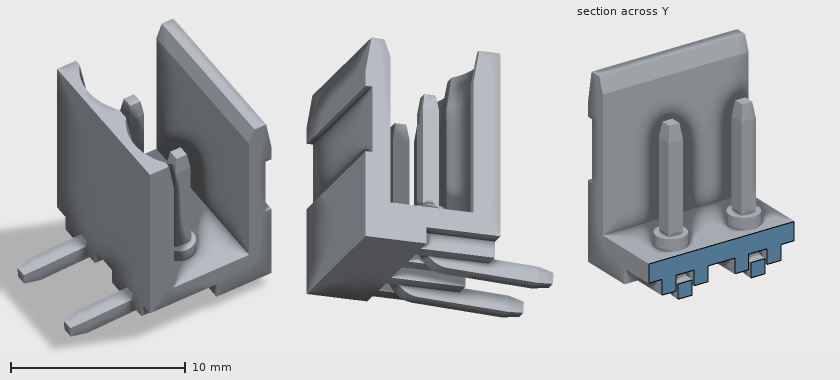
import cadquery as cq
import math


pitch = 5.08
pole_count = 2
width = pitch * pole_count
pole_positions = [(index - (pole_count - 1) / 2) * pitch for index in range(pole_count)]

back_y = 4.7
front_y = -3.5
housing_height = 12.2
floor_height = 2.25
back_wall = 1.5
front_wall = 1.64
back_inner_y = back_y - back_wall
front_inner_y = front_y + front_wall

long_taper_height = 2.0
long_taper_inset = long_taper_height * math.tan(math.radians(10))
short_taper_height = 1.0
short_taper_inset = short_taper_height * math.tan(math.radians(20))
taper_start_z = housing_height - long_taper_height

groove_bottom_z = 5.2
groove_top_z = 9.2
groove_depth = 0.4

scallop_radius = 3.2
scallop_center_y = 0.6
scallop_top_radius = scallop_radius + long_taper_inset

foot_height = 1.0
foot_back_y = 1.0
foot_width = 1.0
pin_slot_width = 1.25

pin_size = 1.0
pin_tip_size = 0.7
pin_tip_length = 1.0
pin_top_z = 10.0
pin_front_y = -7.5
pin_droop = 2.33
bend_radius = 1.1
collar_diameter = 2.0
collar_height = 0.8


def make_housing():
    """U-shaped section with tapered wall tops and a grooved back, run along X."""
    profile = [
        (front_y, 0),
        (front_y, housing_height),
        (front_inner_y - long_taper_inset, housing_height),
        (front_inner_y, taper_start_z),
        (front_inner_y, floor_height),
        (back_inner_y, floor_height),
        (back_inner_y, housing_height - short_taper_height),
        (back_inner_y + short_taper_inset, housing_height),
        (back_y - long_taper_inset, housing_height),
        (back_y, taper_start_z),
        (back_y, groove_top_z),
        (back_y - groove_depth, groove_top_z),
        (back_y - groove_depth, groove_bottom_z),
        (back_y, groove_bottom_z),
        (back_y, 0),
    ]
    return cq.Workplane("YZ").polyline(profile).close().extrude(width / 2, both=True)


def make_scallop(x):
    """Front half of an upright cylinder that flares into a cone beside the wall taper."""
    section = [
        (0, floor_height),
        (scallop_radius, floor_height),
        (scallop_radius, taper_start_z),
        (scallop_top_radius, housing_height),
        (0, housing_height),
    ]
    full_round = cq.Workplane("XZ").polyline(section).close().revolve(360, (0, 0), (0, 1))
    front_half = cq.Workplane("XY").box(
        pitch, scallop_top_radius, housing_height, centered=(True, False, False)
    ).translate((0, -scallop_top_radius, 0))
    return full_round.intersect(front_half).translate((x, scallop_center_y, 0))


def make_foot(x):
    return cq.Workplane("XY").box(
        foot_width, foot_back_y - front_y, foot_height, centered=(True, False, False)
    ).translate((x, front_y, 0))


def make_underside_recess():
    """Recess under the front of the housing, leaving a pair of feet at each pole."""
    recess = cq.Workplane("XY").box(
        width, foot_back_y - front_y, foot_height, centered=(True, False, False)
    ).translate((0, front_y, 0))
    foot_offset = (pin_slot_width + foot_width) / 2
    for x in pole_positions:
        recess = recess.cut(make_foot(x - foot_offset)).cut(make_foot(x + foot_offset))
    return recess


def make_tip(plane):
    """Square tip that narrows along the normal of the given plane."""
    return (
        cq.Workplane(plane)
        .rect(pin_size, pin_size)
        .workplane(offset=pin_tip_length)
        .rect(pin_tip_size, pin_tip_size)
        .loft(ruled=True)
    )


def make_pin(x):
    """Square pin bent forward, its two straight centrelines meeting at the housing underside."""
    droop = math.radians(pin_droop)
    forward = (-math.cos(droop), -math.sin(droop))
    turn = math.pi / 2 - droop
    bend_center_y = -bend_radius
    bend_center_z = bend_radius * math.tan(turn / 2)
    shaft_top_z = pin_top_z - pin_tip_length
    leg_length = -pin_front_y / math.cos(droop) - pin_tip_length
    leg_end = (leg_length * forward[0], leg_length * forward[1])

    def on_bend(radius, angle):
        """Point at a radius about the bend centre, the angle running from the upright shaft."""
        return (bend_center_y + radius * math.cos(angle), bend_center_z - radius * math.sin(angle))

    def on_leg_end(offset):
        """Point on the end of the leg, offset downwards across it."""
        return (leg_end[0] - offset * forward[1], leg_end[1] + offset * forward[0])

    half_size = pin_size / 2
    outer_radius = bend_radius + half_size
    inner_radius = bend_radius - half_size
    shaft = (
        cq.Workplane("YZ")
        .moveTo(half_size, shaft_top_z)
        .lineTo(*on_bend(outer_radius, 0))
        .threePointArc(on_bend(outer_radius, turn / 2), on_bend(outer_radius, turn))
        .lineTo(*on_leg_end(half_size))
        .lineTo(*on_leg_end(-half_size))
        .lineTo(*on_bend(inner_radius, turn))
        .threePointArc(on_bend(inner_radius, turn / 2), on_bend(inner_radius, 0))
        .lineTo(-half_size, shaft_top_z)
        .close()
        .extrude(half_size, both=True)
    )
    top_plane = cq.Plane((0, 0, shaft_top_z), xDir=(1, 0, 0), normal=(0, 0, 1))
    leg_plane = cq.Plane((0, *leg_end), xDir=(1, 0, 0), normal=(0, *forward))
    pin = shaft.union(make_tip(top_plane)).union(make_tip(leg_plane))
    return pin.translate((x, 0, 0))


def make_collar(x):
    return (
        cq.Workplane("XY", origin=(x, 0, floor_height))
        .circle(collar_diameter / 2)
        .extrude(collar_height)
    )


result = make_housing().cut(make_underside_recess())
for pole_x in pole_positions:
    result = result.cut(make_scallop(pole_x))
for pole_x in pole_positions:
    result = result.union(make_collar(pole_x)).union(make_pin(pole_x))